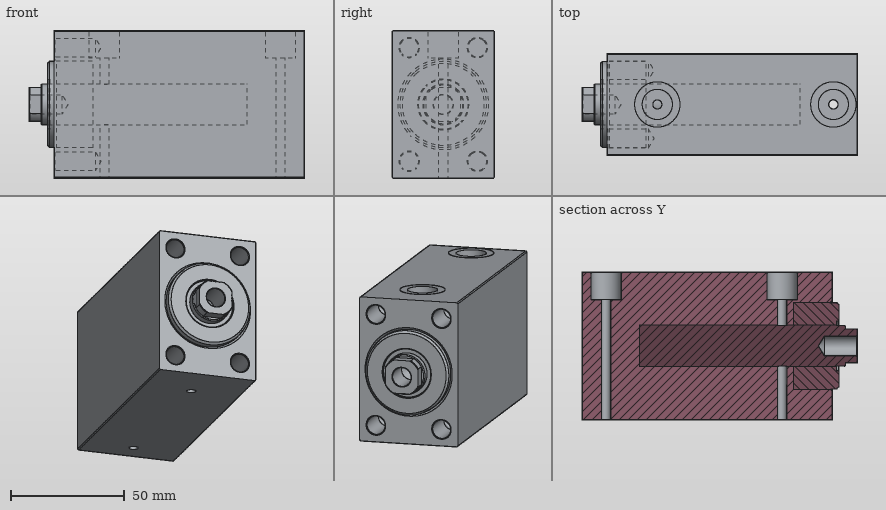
import cadquery as cq
import math


TOTAL_LENGTH = 121.0
BLOCK_LENGTH = 110.0
BLOCK_WIDTH = 45.0
BLOCK_HEIGHT = 65.0
EDGE_CHAMFER = 0.5

GLAND_DIA = 38.0
GLAND_PROJECTION = 3.0
GLAND_DEPTH = 17.0
GLAND_CHAMFER = 1.0
SEAT_CHAMFER = 1.0

WIPER_DIA = 21.8
WIPER_DEPTH = 1.1
WIPER_CHAMFER = 0.4

ROD_DIA = 18.0
ROD_PROJECTION = TOTAL_LENGTH - BLOCK_LENGTH
ROD_END = 84.7
ROD_CHAMFER = 0.5
NECK_DIA = ROD_DIA - 2 * ROD_CHAMFER
NECK_LENGTH = 5.1
TIP_CHAMFER = 0.2
ACROSS_FLATS = 15.0

ROD_HOLE_DIA = 8.5
ROD_HOLE_DEPTH = 14.5
ROD_HOLE_CHAMFER = 0.2
MOUNT_DIA = 8.2
MOUNT_DEPTH = 18.2
MOUNT_CHAMFER = 0.4
MOUNT_SPACING_Y = 30.0
MOUNT_SPACING_Z = 50.0
DRILL_POINT_ANGLE = 118.0

FRONT_PORT_X = 22.0
REAR_PORT_X = 99.5
SPOTFACE_DIA = 20.0
SPOTFACE_DEPTH = 0.1
PORT_DIA = 13.3
PORT_DEPTH = 12.1
FEED_DIA = 4.0


def x_cylinder(diameter, start, end):
    """Cylinder on the rod axis between two x positions."""
    plane = cq.Plane(origin=(start, 0, 0), xDir=(0, 0, 1), normal=(1, 0, 0))
    return cq.Workplane(plane).circle(diameter / 2).extrude(end - start)


def x_recess(diameter, start, depth, chamfer, point=0.0):
    """Round recess along +X with a chamfered mouth and a conical point added beyond its depth."""
    radius = diameter / 2
    profile = (
        cq.Workplane("XZ")
        .moveTo(start, 0)
        .lineTo(start, radius + chamfer)
        .lineTo(start + chamfer, radius)
        .lineTo(start + depth, radius)
        .lineTo(start + depth + point, 0)
        .close()
    )
    return profile.revolve(360, (0, 0, 0), (1, 0, 0))


def screw_hole(diameter, start, depth, chamfer):
    """Blind drilled hole along +X, ending in a drill point."""
    point = diameter / 2 / math.tan(math.radians(DRILL_POINT_ANGLE / 2))
    return x_recess(diameter, start, depth, chamfer, point)


def port(x):
    """Spotface, port socket and a feed hole that runs through the full height of the block."""
    top = cq.Workplane("XY", origin=(x, 0, BLOCK_HEIGHT / 2))
    spotface = top.circle(SPOTFACE_DIA / 2).extrude(-SPOTFACE_DEPTH)
    socket = top.circle(PORT_DIA / 2).extrude(-PORT_DEPTH)
    feed = top.circle(FEED_DIA / 2).extrude(-BLOCK_HEIGHT)
    return feed.union(socket).union(spotface)


def make_block():
    block = cq.Workplane("XY").box(
        BLOCK_LENGTH, BLOCK_WIDTH, BLOCK_HEIGHT, centered=(False, True, True)
    )
    block = block.edges("|X").chamfer(EDGE_CHAMFER)

    block = block.cut(x_recess(GLAND_DIA, 0, GLAND_DEPTH, SEAT_CHAMFER))
    block = block.cut(x_cylinder(ROD_DIA, 0, ROD_END))

    mount = screw_hole(MOUNT_DIA, 0, MOUNT_DEPTH, MOUNT_CHAMFER)
    for side_y in (-1, 1):
        for side_z in (-1, 1):
            place = (0, side_y * MOUNT_SPACING_Y / 2, side_z * MOUNT_SPACING_Z / 2)
            block = block.cut(mount.translate(place))

    for x in (FRONT_PORT_X, REAR_PORT_X):
        block = block.cut(port(x))
    return block


def make_gland():
    gland = x_cylinder(GLAND_DIA, -GLAND_PROJECTION, GLAND_DEPTH)
    gland = gland.faces("<X").chamfer(GLAND_CHAMFER)
    gland = gland.cut(x_cylinder(ROD_DIA, -GLAND_PROJECTION, GLAND_DEPTH))
    return gland.cut(x_recess(WIPER_DIA, -GLAND_PROJECTION, WIPER_DEPTH, WIPER_CHAMFER))


def make_rod():
    tip = -ROD_PROJECTION
    neck_end = tip + NECK_LENGTH
    shaft = x_cylinder(ROD_DIA, neck_end, ROD_END).faces("<X").chamfer(ROD_CHAMFER)
    neck = x_cylinder(NECK_DIA, tip, neck_end).faces("<X").chamfer(TIP_CHAMFER)
    flats = cq.Workplane("YZ", origin=(tip, 0, 0)).rect(ACROSS_FLATS, ACROSS_FLATS).extrude(NECK_LENGTH)
    rod = shaft.union(neck.intersect(flats))
    return rod.cut(screw_hole(ROD_HOLE_DIA, tip, ROD_HOLE_DEPTH, ROD_HOLE_CHAMFER))


block = make_block()
gland = make_gland()
rod = make_rod()

result = cq.Compound.makeCompound([body.solids().val() for body in (block, gland, rod)])